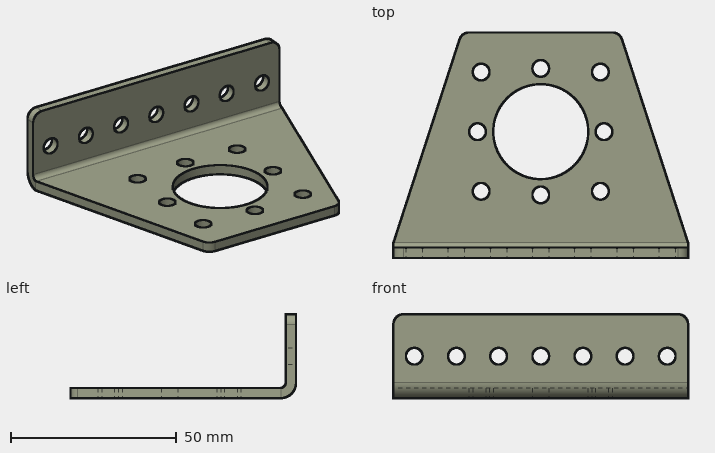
import cadquery as cq
import math

width = 88.9
depth = 68.04
height = 25.4

thickness = 3.175
bend_inner_radius = 1.5875
bend_outer_radius = bend_inner_radius + thickness
corner_radius = 3.175

base_end_width = 47.625
taper_overlap = 0.25
taper_start_y = bend_outer_radius - taper_overlap
bore_diameter = 28.575
bore_center_y = 38.1

screw_diameter = 4.9784
inner_circle_radius = 19.05
outer_circle_radius = 25.4
holes_per_circle = 4
inner_circle_angle = 0
outer_circle_angle = 180 / holes_per_circle
flange_hole_count = 7
flange_hole_pitch = 12.7
flange_hole_height = height / 2


def make_bent_sheet():
    """L-shaped sheet: base on Z = 0, outer flange face on Y = 0."""
    mid_arc_factor = 1 - math.sqrt(0.5)
    inner_offset = bend_inner_radius * mid_arc_factor
    outer_offset = bend_outer_radius * mid_arc_factor
    return (
        cq.Workplane("YZ")
        .moveTo(depth, 0)
        .lineTo(bend_outer_radius, 0)
        .threePointArc((outer_offset, outer_offset), (0, bend_outer_radius))
        .lineTo(0, height)
        .lineTo(thickness, height)
        .lineTo(thickness, bend_outer_radius)
        .threePointArc(
            (thickness + inner_offset, thickness + inner_offset),
            (bend_outer_radius, thickness),
        )
        .lineTo(depth, thickness)
        .close()
        .extrude(width / 2, both=True)
    )


def make_base_outline():
    """Plan shape: full width at the bend, then tapering to a rounded end."""
    half_width = width / 2
    half_end = base_end_width / 2
    return (
        cq.Workplane("XY")
        .polyline([
            (-half_width, 0),
            (half_width, 0),
            (half_width, taper_start_y),
            (half_end, depth),
            (-half_end, depth),
            (-half_width, taper_start_y),
        ])
        .close()
        .extrude(height)
        .edges("|Z and >Y")
        .fillet(corner_radius)
    )


def make_screw_circle(radius, start_angle):
    """Cutters for screw holes evenly spaced around the bore."""
    return (
        cq.Workplane("XY")
        .center(0, bore_center_y)
        .polarArray(radius, start_angle, 360, holes_per_circle)
        .circle(screw_diameter / 2)
        .extrude(thickness)
    )


def make_bore():
    """Cutter for the large opening in the base."""
    return cq.Workplane("XY").center(0, bore_center_y).circle(bore_diameter / 2).extrude(thickness)


def make_flange_holes():
    """Cutters for the row of screw holes through the flange."""
    return (
        cq.Workplane("XZ")
        .center(0, flange_hole_height)
        .rarray(flange_hole_pitch, 1, flange_hole_count, 1)
        .circle(screw_diameter / 2)
        .extrude(-thickness)
    )


bracket = make_bent_sheet().edges("|Y and >Z").fillet(corner_radius)
bracket = bracket.intersect(make_base_outline())
bracket = bracket.cut(make_bore())
bracket = bracket.cut(make_screw_circle(inner_circle_radius, inner_circle_angle))
bracket = bracket.cut(make_screw_circle(outer_circle_radius, outer_circle_angle))
result = bracket.cut(make_flange_holes())